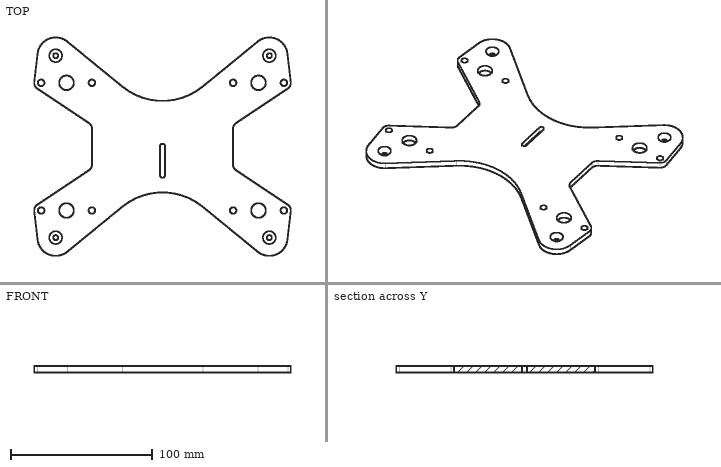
import cadquery as cq
import math

length_x = 182.09
length_y = 154.99
thickness = 4.76
body_half_width = 50.0
waist_half_height = 32.5
waist_radius = 45.0

tip_radius = 13.0
corner_radius = 5.0
arm_root_y = 15.2
arm_root_radius = 5.0

row_y = 45.25
large_hole_diameter = 10.2
small_hole_diameter = 4.5
small_hole_offset = 18.0

screw_hole_x = 75.72
screw_hole_diameter = 3.45
countersink_diameter = 9.1
countersink_angle = 82.0

slot_width = 3.5
slot_length = 24.0
slot_center_y = -10.0

corner_center = (length_x / 2 - corner_radius, row_y)
large_hole_x = corner_center[0] - small_hole_offset
tip_center = (screw_hole_x, length_y / 2 - tip_radius)
waist_center = (0, waist_half_height + waist_radius)
arm_root = (body_half_width, arm_root_y)


def four_places(x, y):
    """The point (x, y) and its mirror images, one on each arm."""
    return [(side_x * x, side_y * y) for side_x in (-1, 1) for side_y in (-1, 1)]


def tangent_line(center_1, radius_1, center_2, radius_2):
    """End points of the line touching two circles, which lie on its left.

    A negative radius puts that circle on the right; a zero radius is a point.
    """
    dx = center_2[0] - center_1[0]
    dy = center_2[1] - center_1[1]
    lean = math.acos((radius_1 - radius_2) / math.hypot(dx, dy))
    normal_angle = math.atan2(dy, dx) - lean
    nx = math.cos(normal_angle)
    ny = math.sin(normal_angle)
    start = (center_1[0] + radius_1 * nx, center_1[1] + radius_1 * ny)
    end = (center_2[0] + radius_2 * nx, center_2[1] + radius_2 * ny)
    return start, end


def make_quarter():
    """Quarter of the plate, with its +X +Y arm."""
    _, corner_start = tangent_line(arm_root, 0, corner_center, corner_radius)
    corner_end, tip_start = tangent_line(corner_center, corner_radius, tip_center, tip_radius)
    tip_end, waist_start = tangent_line(tip_center, tip_radius, waist_center, -waist_radius)
    return (
        cq.Workplane("XY")
        .lineTo(body_half_width, 0)
        .lineTo(*arm_root)
        .lineTo(*corner_start)
        .radiusArc(corner_end, -corner_radius)
        .lineTo(*tip_start)
        .radiusArc(tip_end, -tip_radius)
        .lineTo(*waist_start)
        .radiusArc((0, waist_half_height), waist_radius)
        .close()
        .extrude(thickness)
    )


def make_plate():
    """Whole plate mirrored from one quarter, with rounded arm roots."""
    quarter = make_quarter()
    half = quarter.union(quarter.mirror("YZ"))
    plate = half.union(half.mirror("XZ")).clean()
    for x, y in four_places(*arm_root):
        root_edge = cq.selectors.NearestToPointSelector((x, y, thickness / 2))
        plate = plate.edges("|Z").edges(root_edge).fillet(arm_root_radius)
    return plate


def drill_arms(plate):
    """Cut the hole row and the countersunk screw hole in every arm."""
    hole_row = (
        (large_hole_x - small_hole_offset, small_hole_diameter),
        (large_hole_x, large_hole_diameter),
        (large_hole_x + small_hole_offset, small_hole_diameter),
    )
    for x, diameter in hole_row:
        top = plate.faces(">Z").workplane(origin=(0, 0, thickness))
        plate = top.pushPoints(four_places(x, row_y)).hole(diameter)
    top = plate.faces(">Z").workplane(origin=(0, 0, thickness))
    return top.pushPoints(four_places(*tip_center)).cskHole(
        screw_hole_diameter, countersink_diameter, countersink_angle
    )


def cut_slot(plate):
    """Cut the round-ended slot through the middle of the plate."""
    slot = (
        cq.Workplane("XY")
        .center(0, slot_center_y)
        .slot2D(slot_length, slot_width, 90)
        .extrude(thickness)
    )
    return plate.cut(slot)


result = cut_slot(drill_arms(make_plate()))